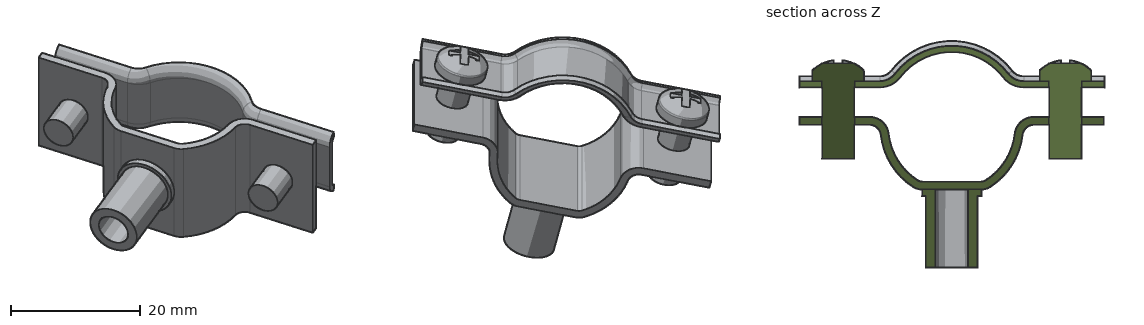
import cadquery as cq
import math


flange_reach = 23.45
strap_gap = 4.5

upper_thickness = 1.0
upper_ring_radius = 10.0
upper_face_y = 4.55
upper_bend_radius = 4.0
upper_right_overhang = 0.1
web_half_width = 4.05
lip_outer_radius = 2.0
lip_angle = math.radians(75)

lower_thickness = 1.25
lower_width = 18.0
lower_ring_radius = 9.75
lower_ring_drop = 1.5
lower_flange_bend_radius = 3.0
lower_seat_bend_radius = 1.3
seat_depth = 9.92

screw_spacing = 35.0
shank_diameter = 5.0
shank_length = 12.0
head_diameter = 8.0
head_rim_height = 1.63
head_height = 3.3
head_edge_radius = 0.4
slot_width = 1.3
slot_floor_height = 2.75

boss_diameter = 8.0
boss_length = 12.0
boss_bore_diameter = 5.0
collar_diameter = 9.2
collar_height = 1.0

head_seat_y = upper_face_y + upper_thickness
lower_face_y = upper_face_y - strap_gap
boss_seat_y = -seat_depth - lower_thickness
screw_xs = (-screw_spacing / 2, screw_spacing / 2)


def polar(center, radius, angle):
    """Point at an angle (radians) on a circle."""
    return (center[0] + radius * math.cos(angle), center[1] + radius * math.sin(angle))


def mirrored(point):
    """Point reflected in the middle plane X = 0."""
    return (-point[0], point[1])


def direction(start, end):
    """Angle (radians) of the line from start to end."""
    return math.atan2(end[1] - start[1], end[0] - start[0])


def cylinder_along_y(diameter, start_y, end_y, x=0.0):
    """Round bar between two Y positions."""
    return (
        cq.Workplane("XZ", origin=(x, start_y, 0))
        .circle(diameter / 2)
        .extrude(start_y - end_y)
    )


def cut_screw_holes(strap):
    """Cut both screw holes through the flanges of a strap."""
    for x in screw_xs:
        hole = cylinder_along_y(shank_diameter, head_seat_y, head_seat_y - shank_length, x)
        strap = strap.cut(hole)
    return strap


def make_upper_strap():
    """Sweep the channel section along the flange face, over the ring and out again."""
    ring_center = (0, 0)
    bend_center_y = upper_face_y + upper_bend_radius
    bend_center_x = math.sqrt((upper_ring_radius + upper_bend_radius) ** 2 - bend_center_y**2)
    bend_center = (-bend_center_x, bend_center_y)

    toward_ring = direction(bend_center, ring_center)
    bend_start = (-bend_center_x, upper_face_y)
    bend_middle = polar(bend_center, upper_bend_radius, (toward_ring - math.pi / 2) / 2)
    bend_end = polar(bend_center, upper_bend_radius, toward_ring)
    path = (
        cq.Workplane("XY")
        .moveTo(-flange_reach, upper_face_y)
        .lineTo(*bend_start)
        .threePointArc(bend_middle, bend_end)
        .threePointArc((0, upper_ring_radius), mirrored(bend_end))
        .threePointArc(mirrored(bend_middle), mirrored(bend_start))
        .lineTo(flange_reach + upper_right_overhang, upper_face_y)
    )

    lip_inner_radius = lip_outer_radius - upper_thickness
    lip_center = (lip_outer_radius, web_half_width)
    web_side = math.pi
    lip_end = web_side - lip_angle
    lip_middle = web_side - lip_angle / 2
    outer_middle = polar(lip_center, lip_outer_radius, lip_middle)
    outer_end = polar(lip_center, lip_outer_radius, lip_end)
    inner_middle = polar(lip_center, lip_inner_radius, lip_middle)
    inner_end = polar(lip_center, lip_inner_radius, lip_end)

    def lower_lip(point):
        return (point[0], -point[1])

    section = (
        cq.Workplane("YZ", origin=(-flange_reach, upper_face_y, 0))
        .moveTo(0, -web_half_width)
        .lineTo(0, web_half_width)
        .threePointArc(outer_middle, outer_end)
        .lineTo(*inner_end)
        .threePointArc(inner_middle, (upper_thickness, web_half_width))
        .lineTo(upper_thickness, -web_half_width)
        .threePointArc(lower_lip(inner_middle), lower_lip(inner_end))
        .lineTo(*lower_lip(outer_end))
        .threePointArc(lower_lip(outer_middle), (0, -web_half_width))
        .close()
    )
    return cut_screw_holes(section.sweep(path))


def make_lower_strap():
    """Extrude the bent strip: flange, bend, ring, bend and seat, mirrored about X = 0."""
    ring_center = (0, -lower_ring_drop)
    outer_ring_radius = lower_ring_radius + lower_thickness

    flange_bend_inner = lower_flange_bend_radius - lower_thickness
    flange_bend_y = lower_face_y - lower_flange_bend_radius
    flange_bend_x = math.sqrt(
        (outer_ring_radius + flange_bend_inner) ** 2 - (flange_bend_y + lower_ring_drop) ** 2
    )
    flange_bend = (flange_bend_x, flange_bend_y)

    seat_bend_outer = lower_seat_bend_radius + lower_thickness
    seat_bend_y = lower_seat_bend_radius - seat_depth
    seat_bend_x = math.sqrt(
        (lower_ring_radius - lower_seat_bend_radius) ** 2 - (seat_bend_y + lower_ring_drop) ** 2
    )
    seat_bend = (seat_bend_x, seat_bend_y)

    flange_joint = direction(ring_center, flange_bend)
    seat_joint = direction(ring_center, seat_bend)
    ring_middle = (flange_joint + seat_joint) / 2
    toward_ring = flange_joint + math.pi
    flange_middle = (toward_ring + math.pi / 2) / 2
    seat_middle = (seat_joint - math.pi / 2) / 2

    def half_face(ring_radius, flange_radius, seat_radius):
        """Arcs of one face of the strip, from the right flange down to the seat."""
        return [
            polar(flange_bend, flange_radius, math.pi / 2),
            polar(flange_bend, flange_radius, flange_middle),
            polar(ring_center, ring_radius, flange_joint),
            polar(ring_center, ring_radius, ring_middle),
            polar(ring_center, ring_radius, seat_joint),
            polar(seat_bend, seat_radius, seat_middle),
            polar(seat_bend, seat_radius, -math.pi / 2),
        ]

    def draw_arcs(sketch, points):
        """Draw the arcs through the points: start, then middle and end of each arc."""
        for middle, end in zip(points[1::2], points[2::2]):
            sketch = sketch.threePointArc(middle, end)
        return sketch

    inner = half_face(lower_ring_radius, lower_flange_bend_radius, lower_seat_bend_radius)
    outer = half_face(outer_ring_radius, flange_bend_inner, seat_bend_outer)
    inner_left = [mirrored(point) for point in reversed(inner)]
    outer_left = [mirrored(point) for point in outer]
    outer_right = outer[::-1]

    outline = cq.Workplane("XY").moveTo(flange_reach, lower_face_y).lineTo(*inner[0])
    outline = draw_arcs(outline, inner).lineTo(*inner_left[0])
    outline = draw_arcs(outline, inner_left).lineTo(-flange_reach, lower_face_y)
    outline = outline.lineTo(-flange_reach, lower_face_y - lower_thickness).lineTo(*outer_left[0])
    outline = draw_arcs(outline, outer_left).lineTo(*outer_right[0])
    outline = draw_arcs(outline, outer_right).lineTo(flange_reach, lower_face_y - lower_thickness)
    strip = outline.close().extrude(lower_width / 2, both=True)
    return cut_screw_holes(strip)


def make_screw(x):
    """Screw with a domed head and a cross of two slots, standing on the upper strap's web."""
    head_radius = head_diameter / 2
    dome_height = head_height - head_rim_height
    dome_radius = (head_radius**2 + dome_height**2) / (2 * dome_height)
    dome_center = (0, head_height - dome_radius)
    dome_half_angle = math.asin(head_radius / dome_radius)
    dome_middle = polar(dome_center, dome_radius, math.pi / 2 - dome_half_angle / 2)
    head = (
        cq.Workplane("XY")
        .lineTo(head_radius, 0)
        .lineTo(head_radius, head_rim_height)
        .threePointArc(dome_middle, (0, head_height))
        .close()
        .revolve(360, (0, 0), (0, 1))
        .edges(cq.selectors.BoxSelector(
            (-head_diameter, head_rim_height - head_edge_radius, -head_diameter),
            (head_diameter, head_rim_height + head_edge_radius, head_diameter),
            boundingbox=True,
        ))
        .fillet(head_edge_radius)
    )

    slot_depth = head_height - slot_floor_height
    for slot_size in ((head_diameter, slot_width), (slot_width, head_diameter)):
        slot = (
            cq.Workplane("XZ", origin=(0, head_height, 0))
            .rect(*slot_size)
            .extrude(slot_depth)
        )
        head = head.cut(slot)

    shank = cylinder_along_y(shank_diameter, 0, -shank_length)
    return head.union(shank).translate((x, head_seat_y, 0))


def make_boss():
    """Collared tube with a bore down to the seat."""
    boss_end_y = boss_seat_y - boss_length
    tube = cylinder_along_y(boss_diameter, boss_seat_y, boss_end_y)
    collar = cylinder_along_y(collar_diameter, boss_seat_y, boss_seat_y - collar_height)
    bore = cylinder_along_y(boss_bore_diameter, boss_seat_y, boss_end_y)
    return tube.union(collar).cut(bore)


upper_strap = make_upper_strap()
lower_strap = make_lower_strap()
screws = [make_screw(x) for x in screw_xs]
boss = make_boss()

result = cq.Compound.makeCompound(
    [upper_strap.val(), lower_strap.val(), *[screw.val() for screw in screws], boss.val()]
)